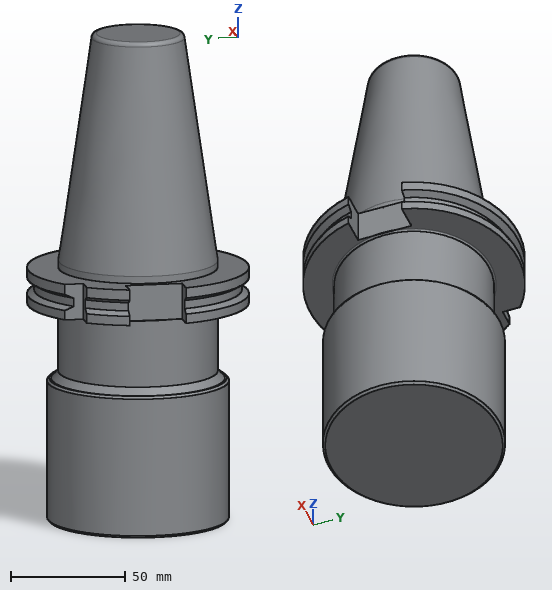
import cadquery as cq
import math

total_height = 218.0

sleeve_diameter = 80.0
sleeve_top = 63.5
sleeve_chamfer = 1.0

collar_bottom_diameter = 76.3
collar_height = 3.3
collar_top = sleeve_top + collar_height

neck_diameter = 70.2
neck_fillet = 0.9
flange_diameter = 97.5
flange_thickness = 16.0
flange_top = 113.1
flange_bottom = flange_top - flange_thickness
gauge_diameter = 70.0
gauge_height = 3.3
gauge_z = flange_top + gauge_height
taper_ratio = 7 / 24
shank_tip_diameter = gauge_diameter - taper_ratio * (total_height - gauge_z)
shank_tip_fillet = 2.2

groove_diameter = 91.3
upper_land = 4.5
lower_land = 4.1
groove_wall_angle = 30.0

drive_slot_width = 25.0
left_slot_floor = 37.7
right_slot_floor = 35.5
notch_offset = 30.0


def make_sleeve():
    return (
        cq.Workplane("XY")
        .circle(sleeve_diameter / 2)
        .extrude(sleeve_top)
        .edges()
        .chamfer(sleeve_chamfer)
    )


def make_collar():
    return (
        cq.Workplane("XY", origin=(0, 0, sleeve_top))
        .circle(collar_bottom_diameter / 2)
        .workplane(offset=collar_height)
        .circle(neck_diameter / 2)
        .loft()
    )


def make_turned_blank():
    """Neck, grooved flange and taper as one turned profile."""
    neck_radius = neck_diameter / 2
    flange_radius = flange_diameter / 2
    groove_radius = groove_diameter / 2
    gauge_radius = gauge_diameter / 2
    wall_rise = (flange_radius - groove_radius) * math.tan(math.radians(groove_wall_angle))
    groove_low = flange_bottom + lower_land
    groove_high = flange_top - upper_land
    profile = (
        cq.Workplane("XZ")
        .moveTo(0, collar_top)
        .lineTo(neck_radius, collar_top)
        .lineTo(neck_radius, flange_bottom - neck_fillet)
        .radiusArc((neck_radius + neck_fillet, flange_bottom), neck_fillet)
        .lineTo(flange_radius, flange_bottom)
        .lineTo(flange_radius, groove_low)
        .lineTo(groove_radius, groove_low + wall_rise)
        .lineTo(groove_radius, groove_high - wall_rise)
        .lineTo(flange_radius, groove_high)
        .lineTo(flange_radius, flange_top)
        .lineTo(gauge_radius, flange_top)
        .lineTo(gauge_radius, gauge_z)
        .lineTo(shank_tip_diameter / 2, total_height)
        .lineTo(0, total_height)
        .close()
    )
    blank = profile.revolve(360, (0, 0, 0), (0, 1, 0))
    return blank.faces(">Z").edges().fillet(shank_tip_fillet)


def flange_cutter(x_min, x_max, y_min, y_max):
    """Box over the full flange thickness."""
    return (
        cq.Workplane("XY", origin=(0, 0, flange_bottom))
        .moveTo((x_min + x_max) / 2, (y_min + y_max) / 2)
        .rect(x_max - x_min, y_max - y_min)
        .extrude(flange_thickness)
    )


def make_holder():
    rim = flange_diameter / 2
    half_slot = drive_slot_width / 2
    left_slot = flange_cutter(-rim, -left_slot_floor, -half_slot, half_slot)
    right_slot = flange_cutter(right_slot_floor, rim, -half_slot, half_slot)
    notch = flange_cutter(-rim, -notch_offset, notch_offset, rim)
    return make_turned_blank().cut(left_slot).cut(right_slot).cut(notch)


sleeve = make_sleeve()
collar = make_collar()
holder = make_holder()

result = cq.Compound.makeCompound([sleeve.val(), collar.val(), holder.val()])